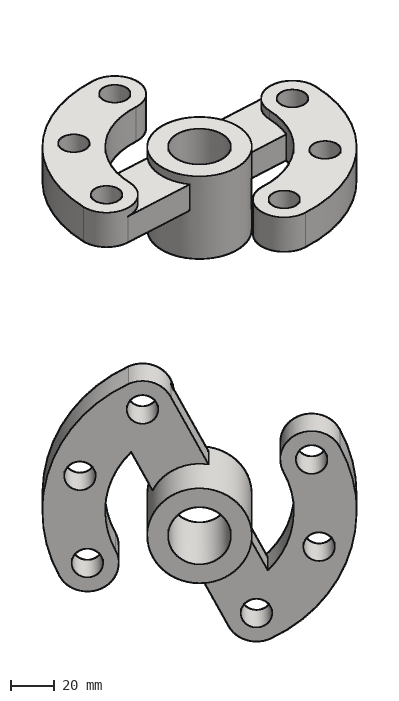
import cadquery as cq
import math

outer_diameter = 143.3
band_width = 28.7
hole_diameter = 14.3
hub_diameter = 47.7
bore_diameter = 28.7
total_height = 45.8
plate_thickness = 19.2
arm_recess = 4.7

outer_radius = outer_diameter / 2
inner_radius = outer_radius - band_width
middle_radius = outer_radius - band_width / 2
plate_bottom = total_height - plate_thickness
arm_thickness = plate_thickness - arm_recess

quadrant_starts = (0, 180)
hole_offsets = (0, 45, 90)


def polar(radius, degrees):
    angle = math.radians(degrees)
    return (radius * math.cos(angle), radius * math.sin(angle))


def curved_plate(start):
    """Quarter-ring plate with rounded ends, spanning 90 degrees from start."""
    end = start + 90
    middle = start + 45
    ring = (
        cq.Workplane("XY", origin=(0, 0, plate_bottom))
        .moveTo(*polar(inner_radius, start))
        .lineTo(*polar(outer_radius, start))
        .threePointArc(polar(outer_radius, middle), polar(outer_radius, end))
        .lineTo(*polar(inner_radius, end))
        .threePointArc(polar(inner_radius, middle), polar(inner_radius, start))
        .close()
        .extrude(plate_thickness)
    )
    rounded_ends = (
        cq.Workplane("XY", origin=(0, 0, plate_bottom))
        .pushPoints([polar(middle_radius, start), polar(middle_radius, end)])
        .circle(band_width / 2)
        .extrude(plate_thickness)
    )
    return ring.union(rounded_ends)


hub = cq.Workplane("XY").circle(hub_diameter / 2).extrude(total_height)

arm = (
    cq.Workplane("XY", origin=(0, 0, plate_bottom))
    .rect(band_width, 2 * middle_radius)
    .extrude(arm_thickness)
)

body = hub.union(arm)
for start in quadrant_starts:
    body = body.union(curved_plate(start))

bore = cq.Workplane("XY").circle(bore_diameter / 2).extrude(total_height)
hole_centers = [
    polar(middle_radius, start + offset)
    for start in quadrant_starts
    for offset in hole_offsets
]
bolt_holes = (
    cq.Workplane("XY")
    .pushPoints(hole_centers)
    .circle(hole_diameter / 2)
    .extrude(total_height)
)

result = body.cut(bore).cut(bolt_holes)